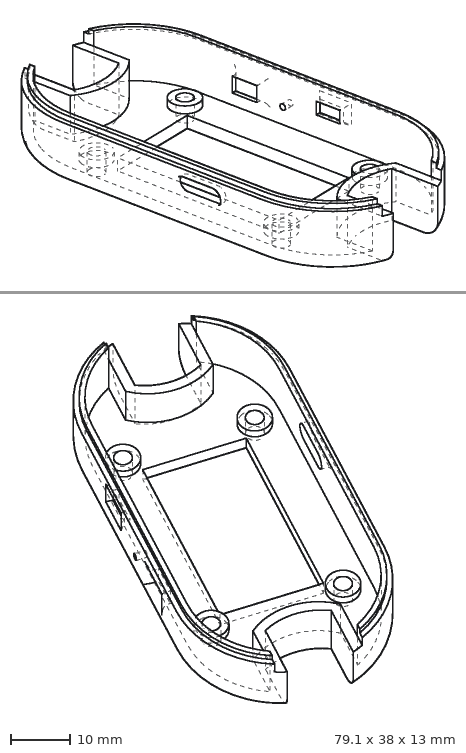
import cadquery as cq
import math

length = 79.05
width = 38.0
height = 13.0
end_radius = width / 2
wall = 2.0
floor_thickness = 2.5
bottom_fillet = 3.0

lip_height = wall / 2
lip_inset = wall / 2

notch_half_width = 6.0
notch_corner_x = 29.6
notch_apex_x = 28.0
guard_half_width = notch_half_width + wall
guard_corner_x = 28.85
guard_apex_x = notch_apex_x - wall
guard_height = 10.0

end_center_x = length / 2 - math.sqrt(end_radius**2 - notch_half_width**2)

window_length = 34.95
window_width = 18.9
boss_spacing_x = 40.0
boss_spacing_y = 24.0
boss_diameter = 6.0
boss_hole_diameter = 3.2
boss_height = 1.5

port_x = 7.1
port_z = 8.3
port_length = 9.8
port_height = 3.4
port_fillet = 0.95

chamfered_window_x = 6.95
chamfered_window_z = 8.2
chamfered_window_length = 5.05
chamfered_window_height = 2.6
window_chamfer = 0.95
rounded_window_x = -11.15
rounded_window_z = 6.5
rounded_window_length = 5.3
rounded_window_height = 3.25
window_fillet = 1.5
pinhole_x = -2.85
pinhole_z = 5.9
pinhole_diameter = 1.2


def stadium(inset, bottom, top):
    """Upright stadium prism, inset from the outer side of the tray."""
    diameter = width - 2 * inset
    return (
        cq.Workplane("XY", origin=(0, 0, bottom))
        .slot2D(2 * end_center_x + diameter, diameter)
        .extrude(top - bottom)
    )


def notch_prism(half_width, corner_x, apex_x, bottom, top):
    """Arc-ended prism that runs inward from beyond the +X end."""
    return (
        cq.Workplane("XY", origin=(0, 0, bottom))
        .moveTo(length, -half_width)
        .lineTo(corner_x, -half_width)
        .threePointArc((apex_x, 0), (corner_x, half_width))
        .lineTo(length, half_width)
        .close()
        .extrude(top - bottom)
    )


def both_ends(shape):
    return shape.union(shape.mirror("YZ"))


def make_outer():
    body = stadium(0, 0, height - lip_height).faces("<Z").edges().fillet(bottom_fillet)
    return body.union(stadium(lip_inset, height - lip_height, height))


def make_guards(outer):
    """Solid blocks around the notches, trimmed to the rounded outer shape."""
    block = notch_prism(guard_half_width, guard_corner_x, guard_apex_x, 0, guard_height)
    return both_ends(block).intersect(outer)


def cut_end_notches(body):
    notch = notch_prism(notch_half_width, notch_corner_x, notch_apex_x, 0, height)
    clearance = notch_prism(guard_half_width, guard_corner_x, guard_apex_x, guard_height, height)
    return body.cut(both_ends(notch.union(clearance)))


def add_bosses(body):
    bosses = (
        cq.Workplane("XY")
        .rarray(boss_spacing_x, boss_spacing_y, 2, 2)
        .circle(boss_diameter / 2)
        .extrude(floor_thickness + boss_height)
    )
    holes = (
        cq.Workplane("XY")
        .rarray(boss_spacing_x, boss_spacing_y, 2, 2)
        .circle(boss_hole_diameter / 2)
        .extrude(height)
    )
    window = cq.Workplane("XY").rect(window_length, window_width).extrude(height)
    return body.union(bosses).cut(holes).cut(window)


def outer_rim(body, side, x, z, reach_x, reach_z):
    """Edges of an opening that lie on the outer face of the wall on the given Y side."""
    y = side * width / 2
    skin = 0.01
    return body.edges(
        cq.selectors.BoxSelector(
            (x - reach_x, y - skin, z - reach_z),
            (x + reach_x, y + skin, z + reach_z),
        )
    )


def cut_port(body):
    slot = (
        cq.Workplane("XZ", origin=(port_x, -width / 2, port_z))
        .slot2D(port_length, port_height)
        .extrude(-2 * wall)
    )
    body = body.cut(slot)
    return outer_rim(body, -1, port_x, port_z, port_length, port_height).fillet(port_fillet)


def cut_window(body, x, z, opening_length, opening_height):
    """Cut a window through the +Y wall and select its outer rim for finishing."""
    opening = cq.Workplane("XY").box(opening_length, 2 * wall, opening_height)
    body = body.cut(opening.translate((x, width / 2, z)))
    return outer_rim(body, 1, x, z, opening_length, opening_height)


def cut_side_openings(body):
    body = cut_window(
        body, chamfered_window_x, chamfered_window_z, chamfered_window_length, chamfered_window_height
    ).chamfer(window_chamfer)
    body = cut_window(
        body, rounded_window_x, rounded_window_z, rounded_window_length, rounded_window_height
    ).fillet(window_fillet)
    pinhole = (
        cq.Workplane("XZ", origin=(pinhole_x, width / 2, pinhole_z))
        .circle(pinhole_diameter / 2)
        .extrude(2 * wall)
    )
    return body.cut(pinhole)


outer = make_outer()
tray = outer.cut(stadium(wall, floor_thickness, height)).union(make_guards(outer))
tray = cut_end_notches(tray)
tray = add_bosses(tray)
tray = cut_port(tray)
result = cut_side_openings(tray)